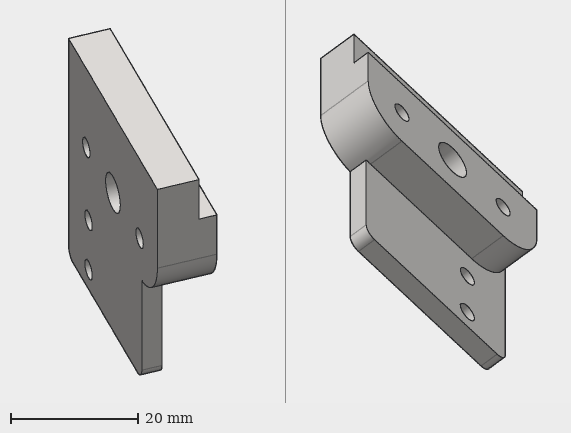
import cadquery as cq

width = 40.0
depth = 10.0
height = 44.0

plate_width = 33.0
plate_thickness = 3.4
plate_corner_radius = 2.0

head_height = 24.0
head_corner_radius = 8.0
step_height = 8.0
step_thickness = 7.0

shaft_hole_diameter = 6.6
screw_hole_diameter = 3.3
head_hole_z = height - step_height - head_corner_radius
head_screw_inset = 8.0
plate_screw_x = 9.0
plate_screw_drops = (30.0, 40.0)


def block(length, thickness, z_bottom, z_top):
    """Box starting at the left side and the front face."""
    return cq.Workplane("XY").box(
        length, thickness, z_top - z_bottom, centered=False
    ).translate((0, 0, z_bottom))


def hole(x, z, diameter):
    """Round cutter running along Y through the whole depth."""
    axis = cq.Vector(0, 1, 0)
    start = cq.Vector(x, 0, z)
    return cq.Workplane(cq.Solid.makeCylinder(diameter / 2, depth, start, axis))


plate = block(plate_width, plate_thickness, 0, height)
plate = plate.edges("|Y and <Z").fillet(plate_corner_radius)

head = block(width, depth, height - head_height, height)
head = head.edges("|Y and <Z").fillet(head_corner_radius)
step = block(width, depth - step_thickness, height - step_height, height)
head = head.cut(step.translate((0, step_thickness, 0)))

result = plate.union(head)

result = result.cut(hole(width / 2, head_hole_z, shaft_hole_diameter))
for x in (head_screw_inset, width - head_screw_inset):
    result = result.cut(hole(x, head_hole_z, screw_hole_diameter))

for drop in plate_screw_drops:
    result = result.cut(hole(plate_screw_x, height - drop, screw_hole_diameter))